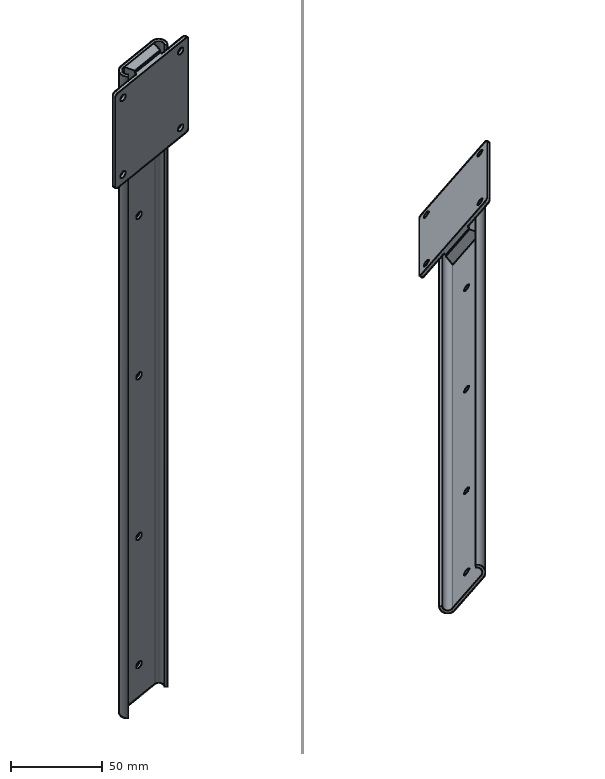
import cadquery as cq
import math

rail_length = 508.0
assembly_depth = 11.2
plate_width = 60.4

rail_width = 35.4
rail_depth = 8.4
web_flat_width = 25.7
sheet_thickness = 1.8
rail_hole_diameter = 4.6
rail_hole_offsets = [-228.6, -127.0, 0.0, 127.0, 228.6]

plate_thickness = 2.0
plate_height = 75.0
plate_drop = 1.8
plate_corner_radius = 2.2
plate_hole_diameter = 4.4
plate_hole_spacing_y = 47.6
plate_hole_spacing_z = 60.8
pad_thickness = 1.2
block_back_width = 24.4
block_front_width = 21.0

plate_back_x = assembly_depth - plate_thickness
pad_back_x = plate_back_x - pad_thickness
plate_middle_z = rail_length - plate_drop - plate_height / 2
block_height = plate_height + 2 * plate_drop

curl_radius = (rail_width - web_flat_width) / 2
curl_inner_radius = curl_radius - sheet_thickness
curl_center_x = curl_radius
curl_center_y = web_flat_width / 2
curl_end_angle = math.pi / 2 + math.asin((rail_depth - curl_center_x) / curl_radius)
curl_middle_angle = curl_end_angle / 2


def curl_point(radius, angle):
    """Point on the +Y curl; the angle turns from facing -X toward +Y."""
    return (
        curl_center_x - radius * math.cos(angle),
        curl_center_y + radius * math.sin(angle),
    )


def make_rail():
    half_section = (
        cq.Workplane("XY")
        .lineTo(0, curl_center_y)
        .threePointArc(
            curl_point(curl_radius, curl_middle_angle),
            curl_point(curl_radius, curl_end_angle),
        )
        .lineTo(*curl_point(curl_inner_radius, curl_end_angle))
        .threePointArc(
            curl_point(curl_inner_radius, curl_middle_angle),
            (sheet_thickness, curl_center_y),
        )
        .lineTo(sheet_thickness, 0)
        .close()
        .extrude(rail_length)
    )
    channel = half_section.union(half_section.mirror("XZ"))
    holes = (
        cq.Workplane("YZ")
        .pushPoints([(0, rail_length / 2 + offset) for offset in rail_hole_offsets])
        .circle(rail_hole_diameter / 2)
        .extrude(sheet_thickness)
    )
    return channel.cut(holes)


def make_carriage():
    plate = (
        cq.Workplane("YZ", origin=(plate_back_x, 0, plate_middle_z))
        .rect(plate_width, plate_height)
        .extrude(plate_thickness)
        .edges("|X")
        .fillet(plate_corner_radius)
        .faces(">X")
        .workplane(centerOption="CenterOfBoundBox")
        .rect(plate_hole_spacing_y, plate_hole_spacing_z, forConstruction=True)
        .vertices()
        .hole(plate_hole_diameter)
    )
    pad = (
        cq.Workplane("YZ", origin=(pad_back_x, 0, plate_middle_z))
        .rect(block_front_width, plate_height)
        .extrude(pad_thickness)
    )
    block = (
        cq.Workplane("XY", origin=(0, 0, plate_middle_z - block_height / 2))
        .moveTo(sheet_thickness, -block_back_width / 2)
        .lineTo(pad_back_x, -block_front_width / 2)
        .lineTo(pad_back_x, block_front_width / 2)
        .lineTo(sheet_thickness, block_back_width / 2)
        .close()
        .extrude(block_height)
    )
    return plate.union(pad).union(block)


rail = make_rail()
carriage = make_carriage()
result = cq.Compound.makeCompound([rail.val(), carriage.val()])